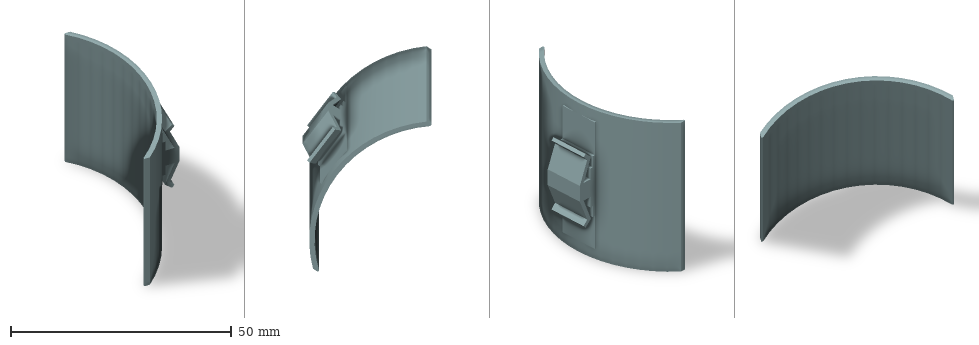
import cadquery as cq
import math

width = 45.0
height = 40.0
outer_radius = 30.0
inner_radius = 28.8
plate_depth = 11.5

clip_width = 10.15
clip_top = 4.85
pad_half_height = 17.0
lower_step_y = 0.65
lower_step_half_height = 8.2
upper_step_y = 1.4
upper_step_half_height = 5.2
stem_half_height = 2.4
top_half_height = 2.1
arm_root_y = 3.6
inner_elbow = (1.25, 8.32)
outer_elbow = (2.48, 7.95)
inner_tip = (2.95, 9.9)
outer_tip = (3.6, 9.25)


def curved_plate():
    """Arc-shaped plate with flat side faces and narrow flat front edges."""
    half_width = width / 2
    centre_y = -outer_radius
    outer_edge_y = centre_y + math.sqrt(outer_radius**2 - half_width**2)
    inner_edge_x = math.sqrt(inner_radius**2 - (outer_radius - plate_depth)**2)
    return (
        cq.Workplane("XY")
        .workplane(offset=-height / 2)
        .moveTo(-half_width, outer_edge_y)
        .threePointArc((0, 0), (half_width, outer_edge_y))
        .lineTo(half_width, -plate_depth)
        .lineTo(inner_edge_x, -plate_depth)
        .threePointArc((0, inner_radius - outer_radius), (-inner_edge_x, -plate_depth))
        .lineTo(-half_width, -plate_depth)
        .close()
        .extrude(height)
    )


def clip():
    """Clip profile, symmetric about Z = 0, extruded across X."""
    pad_bottom_y = math.sqrt(outer_radius**2 - (clip_width / 2)**2) - outer_radius
    upper_half = [
        (pad_bottom_y, pad_half_height),
        (0, pad_half_height),
        (0, lower_step_half_height),
        (lower_step_y, lower_step_half_height),
        (lower_step_y, upper_step_half_height),
        (upper_step_y, upper_step_half_height),
        (upper_step_y, stem_half_height),
        (arm_root_y, stem_half_height),
        inner_elbow,
        inner_tip,
        outer_tip,
        outer_elbow,
        (clip_top, top_half_height),
    ]
    lower_half = [(y, -z) for y, z in reversed(upper_half)]
    return (
        cq.Workplane("YZ")
        .polyline(upper_half + lower_half)
        .close()
        .extrude(clip_width / 2, both=True)
    )


result = curved_plate().union(clip())